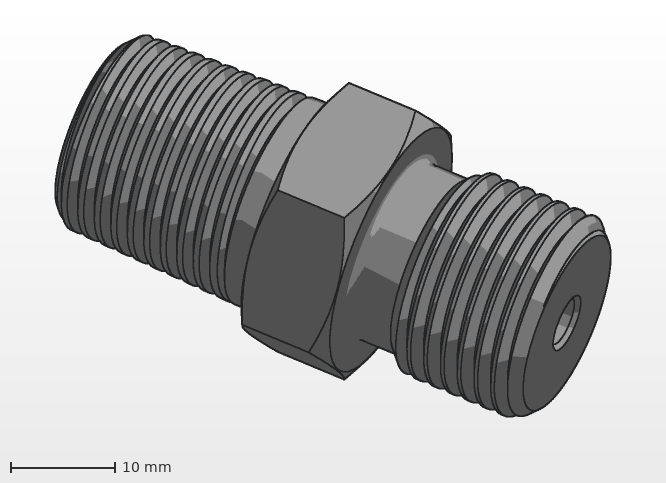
import cadquery as cq
import math

LENGTH = 50.8

HEX_START = 22.15
HEX_END = 31.75
HEX_ACROSS_FLATS = 25.4
HEX_FACE_RADIUS = 12.6
HEX_CHAMFER_ANGLE = 30.0

COLLAR_START = 19.8
COLLAR_RADIUS = 10.6
TAPER = 1 / 32
TAPER_TIP_RADIUS = 8.8
TAPER_THREAD_DEPTH = 1.1
TAPER_GROOVE_X = 0.3
RUNOUT_START = 10.0
RUNOUT_TURNS = 0.75

NECK_RADIUS = 9.1
NECK_FILLET = 0.75
NECK_END = 36.45
STRAIGHT_RADIUS = 10.5
STRAIGHT_TIP_RADIUS = 9.05
STRAIGHT_THREAD_DEPTH = 1.35
STRAIGHT_GROOVE_X = 37.85

PITCH = 12.7 / 7
THREAD_ANGLE = 55.0
FLANK_SLOPE = math.tan(math.radians(THREAD_ANGLE / 2))
CUTTER_OVERSHOOT = 0.2
POINTS_PER_HALF_TURN = 12

BORE_RADIUS = 2.4
BORE_CHAMFER = 0.45


def cone_radius(x):
    """Crest radius of the tapered thread at x."""
    return COLLAR_RADIUS - TAPER * (COLLAR_START - x)


def turned_body():
    """Body of revolution before its threads are cut, without the hexagon."""
    tip_chamfer = (cone_radius(0) - TAPER_TIP_RADIUS) / (1 - TAPER)
    shoulder_x = NECK_END + STRAIGHT_RADIUS - NECK_RADIUS
    end_chamfer = STRAIGHT_RADIUS - STRAIGHT_TIP_RADIUS
    profile = (
        cq.Workplane("XY")
        .lineTo(0, TAPER_TIP_RADIUS)
        .lineTo(tip_chamfer, cone_radius(tip_chamfer))
        .lineTo(COLLAR_START, COLLAR_RADIUS)
        .lineTo(HEX_END, COLLAR_RADIUS)
        .lineTo(HEX_END, NECK_RADIUS + NECK_FILLET)
        .radiusArc((HEX_END + NECK_FILLET, NECK_RADIUS), -NECK_FILLET)
        .lineTo(NECK_END, NECK_RADIUS)
        .lineTo(shoulder_x, STRAIGHT_RADIUS)
        .lineTo(LENGTH - end_chamfer, STRAIGHT_RADIUS)
        .lineTo(LENGTH, STRAIGHT_TIP_RADIUS)
        .lineTo(LENGTH, 0)
        .close()
    )
    return profile.revolve(360, (0, 0), (1, 0))


def hexagon():
    """Hexagon with corners on the Y axis and both ends chamfered to a cone."""
    width = HEX_END - HEX_START
    corner_radius = HEX_ACROSS_FLATS / math.sqrt(3)
    prism = (
        cq.Workplane("YZ")
        .workplane(offset=HEX_START)
        .polygon(6, 2 * corner_radius)
        .extrude(width)
    )
    rim_radius = HEX_FACE_RADIUS + width / 2 / math.tan(math.radians(HEX_CHAMFER_ANGLE))
    envelope = (
        cq.Workplane("XY")
        .moveTo(HEX_START, 0)
        .lineTo(HEX_START, HEX_FACE_RADIUS)
        .lineTo((HEX_START + HEX_END) / 2, rim_radius)
        .lineTo(HEX_END, HEX_FACE_RADIUS)
        .lineTo(HEX_END, 0)
        .close()
        .revolve(360, (0, 0), (1, 0))
    )
    return prism.intersect(envelope)


def helical_groove(start_x, first_turn, half_turns, depth, crest_radius, lift):
    """Right-hand V groove whose root passes +Z at start_x on turn zero.

    crest_radius(x) gives the thread surface and lift(turn) raises the root towards it.
    The faces are built one half turn at a time.
    """
    half_width = (depth + CUTTER_OVERSHOOT) * FLANK_SLOPE

    def helix(start_turn, x_shift, height):
        points = []
        for step in range(POINTS_PER_HALF_TURN + 1):
            turn = start_turn + step / POINTS_PER_HALF_TURN / 2
            x = start_x + turn * PITCH
            radius = crest_radius(x) + height + lift(turn)
            angle = 2 * math.pi * turn
            points.append(cq.Vector(x + x_shift, -radius * math.sin(angle), radius * math.cos(angle)))
        return cq.Edge.makeSpline(points)

    def end_face(edges, position):
        corners = [edge.positionAt(position) for edge in edges]
        return cq.Face.makeFromWires(cq.Wire.makePolygon(corners, close=True))

    faces = []
    for index in range(half_turns):
        start_turn = first_turn + index / 2
        root = helix(start_turn, 0, -depth)
        low_edge = helix(start_turn, -half_width, CUTTER_OVERSHOOT)
        high_edge = helix(start_turn, half_width, CUTTER_OVERSHOOT)
        faces.append(cq.Face.makeRuledSurface(root, high_edge))
        faces.append(cq.Face.makeRuledSurface(high_edge, low_edge))
        faces.append(cq.Face.makeRuledSurface(low_edge, root))
        if index == 0:
            faces.append(end_face((root, high_edge, low_edge), 0))
    faces.append(end_face((root, high_edge, low_edge), 1))
    return cq.Solid.makeSolid(cq.Shell.makeShell(faces))


def runout_lift(turn):
    """Rise of the tapered thread's root as it runs out at the collar."""
    return max(0, turn - RUNOUT_START) / RUNOUT_TURNS * TAPER_THREAD_DEPTH


def tapered_groove():
    """Groove entering from beyond the low-X face and rising out of the cone at the collar."""
    first_turn = -1.5
    half_turns = 25
    return helical_groove(TAPER_GROOVE_X, first_turn, half_turns, TAPER_THREAD_DEPTH, cone_radius, runout_lift)


def straight_groove():
    """Groove entering above the neck and leaving beyond the high-X face."""
    first_turn = -1.25
    half_turns = 20
    return helical_groove(
        STRAIGHT_GROOVE_X,
        first_turn,
        half_turns,
        STRAIGHT_THREAD_DEPTH,
        lambda x: STRAIGHT_RADIUS,
        lambda turn: 0,
    )


def bore():
    """Through hole, chamfered at both mouths."""
    mouth_radius = BORE_RADIUS + BORE_CHAMFER
    return (
        cq.Workplane("XY")
        .lineTo(0, mouth_radius)
        .lineTo(BORE_CHAMFER, BORE_RADIUS)
        .lineTo(LENGTH - BORE_CHAMFER, BORE_RADIUS)
        .lineTo(LENGTH, mouth_radius)
        .lineTo(LENGTH, 0)
        .close()
        .revolve(360, (0, 0), (1, 0))
    )


result = turned_body().union(hexagon()).cut(bore())
for groove in (tapered_groove(), straight_groove()):
    result = result.cut(cq.Workplane(groove))
result = cq.Workplane(result.solids().val())